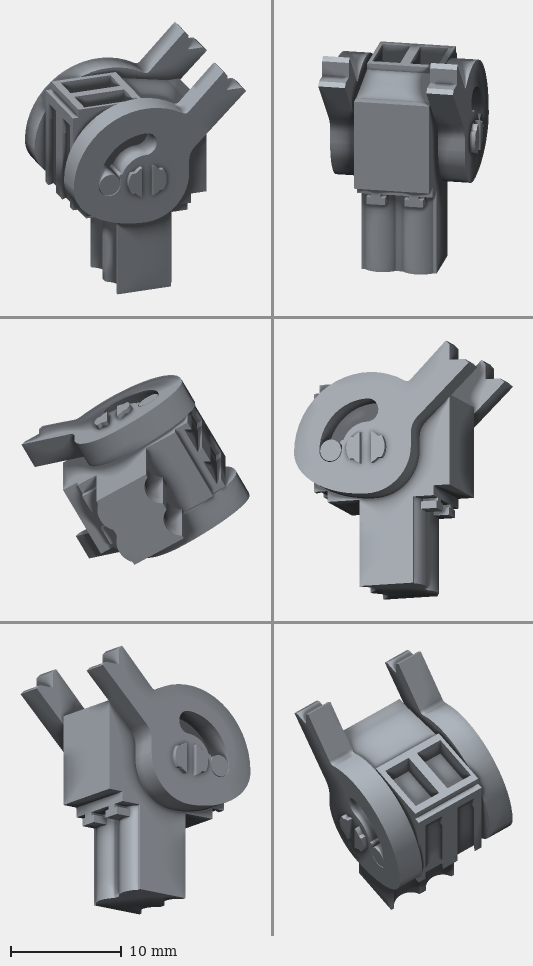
import cadquery as cq
import math


HOUSING_WIDTH = 6.93
FRONT_Y = -6.0
TOP_FRONT_Y = -5.47
SHOULDER_Z = 5.83
TOP_Z = 6.6
SLOPE_TOP_Y = 0.75
SLOPE_TOP_Z = 6.03
SLOPE_BOTTOM_Y = 5.77
BACK_TOP_Z = 5.04
BACK_Y = 6.91
BACK_UNDERSIDE_Z = -3.27
FRONT_UNDERSIDE_Z = -3.19
BASE_FRONT_Y = -4.74
BASE_BACK_Y = 5.4
BASE_Z = -4.18
STEM_FRONT_Y = -1.68
STEM_BACK_Y = 3.45
STEM_CREST_Y = 4.03
STEM_BOTTOM_Z = -12.1

WAY_X = 1.75
WAY_SIDES = (-1, 1)

POCKET_WIDTH = 2.58
POCKET_SHIFT_X = 0.1
POCKET_FRONT_Y = -4.78
POCKET_BACK_Y = 0.05
POCKET_DEPTH = 2.02

SLOT_WIDTH = 1.92
SLOT_TOP_Z = 4.87
SLOT_DEPTH = 0.54
DOVETAIL_TOP_Z = 3.27
DOVETAIL_DEPTH = 0.58
DOVETAIL_FLARE = 0.3

STEM_GROOVE_RADIUS = 1.55
STEM_ARC_WIDTH = 2.8

TAB_WIDTH = 1.72
TAB_NECK_WIDTH = 0.86
TAB_NECK_HEIGHT = 0.32
TAB_HEIGHT = 1.01
TAB_FRONT_Y = 3.92

LEVER_THICKNESS = 2.45
LEVER_INNER_X = 3.75
LEVER_OUTER_X = LEVER_INNER_X + LEVER_THICKNESS
CAM_RADIUS = 6.98
HUB_RADIUS = 4.18
ARM_TOP_OFFSET = 1.92
ARM_TIP_Y = 7.51
ARM_TIP_CHAMFER = 0.39
NOTCH_Y = 7.88
NOTCH_Z = 7.62
ARM_ROOT_Z = 2.0
ARM_TOP_FILLET = 0.43
ARM_ROOT_FILLET = 1.9

PIVOT_RADIUS = 1.53
PIVOT_LUG_RADIUS = 1.83
PIVOT_LUG_HEIGHT = 1.98
PIVOT_SLIT_WIDTH = 1.08
PIVOT_END_X = 6.7
GUIDE_PIN_RADIUS = 1.0
GUIDE_ORBIT = 3.49
GUIDE_SLOT_WIDTH = 2.13
DETENT_RADIUS = 0.24
DETENT_ANGLE = 15.5


def box(x_range, y_range, z_range):
    """Box between the given pairs of limits."""
    (x0, x1), (y0, y1), (z0, z1) = x_range, y_range, z_range
    return cq.Workplane("XY").box(x1 - x0, y1 - y0, z1 - z0, centered=False).translate((x0, y0, z0))


def side_plane(x):
    """Plane across the X axis, drawn in Y and Z and extruded toward +X."""
    return cq.Workplane("YZ", origin=(x, 0, 0))


def centered_span(center, width):
    return (center - width / 2, center + width / 2)


def make_housing_block():
    outline = [
        (FRONT_Y, FRONT_UNDERSIDE_Z),
        (FRONT_Y, SHOULDER_Z),
        (TOP_FRONT_Y, SHOULDER_Z),
        (TOP_FRONT_Y, TOP_Z),
        (SLOPE_TOP_Y, TOP_Z),
        (SLOPE_TOP_Y, SLOPE_TOP_Z),
        (SLOPE_BOTTOM_Y, BACK_TOP_Z),
        (BACK_Y, BACK_TOP_Z),
        (BACK_Y, BACK_UNDERSIDE_Z),
        (BASE_BACK_Y, BACK_UNDERSIDE_Z),
        (BASE_BACK_Y, BASE_Z),
        (BASE_FRONT_Y, BASE_Z),
        (BASE_FRONT_Y, FRONT_UNDERSIDE_Z),
    ]
    return side_plane(-HOUSING_WIDTH / 2).polyline(outline).close().extrude(HOUSING_WIDTH)


def make_stem():
    """Stem with two rounded lobes at the back and two wire grooves in front."""
    height = BASE_Z - STEM_BOTTOM_Z
    half_width = HOUSING_WIDTH / 2
    half_arc = STEM_ARC_WIDTH / 2
    stem = box((-half_width, half_width), (STEM_FRONT_Y, STEM_BACK_Y), (STEM_BOTTOM_Z, BASE_Z))
    groove_axis_y = STEM_FRONT_Y - math.sqrt(STEM_GROOVE_RADIUS**2 - half_arc**2)
    for side in WAY_SIDES:
        center = side * WAY_X
        lobe = (
            cq.Workplane("XY", origin=(center, 0, STEM_BOTTOM_Z))
            .moveTo(-half_arc, STEM_BACK_Y)
            .threePointArc((0, STEM_CREST_Y), (half_arc, STEM_BACK_Y))
            .close()
            .extrude(height)
        )
        groove = (
            cq.Workplane("XY", origin=(center, groove_axis_y, STEM_BOTTOM_Z))
            .circle(STEM_GROOVE_RADIUS)
            .extrude(height)
        )
        stem = stem.union(lobe).cut(groove)
    return stem


def make_pocket(side):
    """Rectangular pocket sunk into the top of the housing."""
    x_range = centered_span(side * WAY_X + POCKET_SHIFT_X, POCKET_WIDTH)
    return box(x_range, (POCKET_FRONT_Y, POCKET_BACK_Y), (TOP_Z - POCKET_DEPTH, TOP_Z))


def make_front_slot(side):
    """Front slot: straight-walled at its upper end, an open-ended dovetail below."""
    center = side * WAY_X
    x_range = centered_span(center, SLOT_WIDTH)
    window = box(x_range, (FRONT_Y, FRONT_Y + SLOT_DEPTH), (DOVETAIL_TOP_Z, SLOT_TOP_Z))
    floor_y = FRONT_Y + DOVETAIL_DEPTH
    dovetail = (
        cq.Workplane("XY", origin=(0, 0, FRONT_UNDERSIDE_Z))
        .polyline([
            (x_range[0], FRONT_Y),
            (x_range[1], FRONT_Y),
            (x_range[1] + DOVETAIL_FLARE, floor_y),
            (x_range[0] - DOVETAIL_FLARE, floor_y),
        ])
        .close()
        .extrude(DOVETAIL_TOP_Z - FRONT_UNDERSIDE_Z)
    )
    return window.union(dovetail)


def make_right_pivot():
    """Pivot shaft with a slit, two-lugged head, and the guide pin beside it."""
    housing_x = HOUSING_WIDTH / 2
    shaft = side_plane(housing_x).circle(PIVOT_RADIUS).extrude(LEVER_OUTER_X - housing_x)
    head_length = PIVOT_END_X - LEVER_OUTER_X
    head_plane = side_plane(LEVER_OUTER_X)
    lug_width = 2 * PIVOT_LUG_RADIUS
    lugs = head_plane.circle(PIVOT_LUG_RADIUS).extrude(head_length)
    lugs = lugs.intersect(head_plane.rect(lug_width, PIVOT_LUG_HEIGHT).extrude(head_length))
    slit = head_plane.rect(PIVOT_SLIT_WIDTH, lug_width).extrude(head_length)
    head = head_plane.circle(PIVOT_RADIUS).extrude(head_length).union(lugs).cut(slit)
    guide_pin = (
        side_plane(housing_x)
        .center(-GUIDE_ORBIT, 0)
        .circle(GUIDE_PIN_RADIUS)
        .extrude(LEVER_OUTER_X - housing_x)
    )
    return shaft.union(head).union(guide_pin)


def make_tab(side):
    """Small tab under the back of the base: a narrow neck above a wider foot."""
    center = side * WAY_X
    neck_bottom_z = BASE_Z - TAB_NECK_HEIGHT
    y_range = (TAB_FRONT_Y, BASE_BACK_Y)
    neck = box(centered_span(center, TAB_NECK_WIDTH), y_range, (neck_bottom_z, BASE_Z))
    foot = box(centered_span(center, TAB_WIDTH), y_range, (BASE_Z - TAB_HEIGHT, neck_bottom_z))
    return neck.union(foot)


def make_housing():
    housing = make_housing_block().union(make_stem())
    for side in WAY_SIDES:
        housing = housing.cut(make_pocket(side)).cut(make_front_slot(side)).cut(make_tab(side))
    pivot = make_right_pivot()
    return housing.union(pivot).union(pivot.mirror("YZ"))


def make_right_lever():
    """Cam lever: round cam with an eccentric lower flank and a notched arm."""
    arm_top_y = (math.sqrt(2 * CAM_RADIUS**2 - ARM_TOP_OFFSET**2) - ARM_TOP_OFFSET) / 2
    arm_top = (arm_top_y, arm_top_y + ARM_TOP_OFFSET)
    upper_tip = (ARM_TIP_Y, ARM_TIP_Y + ARM_TOP_OFFSET)
    axis_offset = NOTCH_Z - NOTCH_Y
    lower_tip = (upper_tip[1] - axis_offset, upper_tip[0] + axis_offset)
    arm_root = (HUB_RADIUS, ARM_ROOT_Z)
    arc_mid = CAM_RADIUS * math.sqrt(0.5)
    hub_mid = HUB_RADIUS * math.sqrt(0.5)
    lever = (
        side_plane(LEVER_INNER_X)
        .moveTo(*upper_tip)
        .lineTo(*arm_top)
        .threePointArc((-arc_mid, arc_mid), (-CAM_RADIUS, 0))
        .ellipseArc(CAM_RADIUS, HUB_RADIUS, 180, 270, startAtCurrent=True)
        .threePointArc((hub_mid, -hub_mid), (HUB_RADIUS, 0))
        .lineTo(*arm_root)
        .lineTo(*lower_tip)
        .lineTo(lower_tip[0] - ARM_TIP_CHAMFER, NOTCH_Z)
        .lineTo(NOTCH_Y, NOTCH_Z)
        .lineTo(NOTCH_Y, upper_tip[1] - ARM_TIP_CHAMFER)
        .close()
        .extrude(LEVER_THICKNESS)
    )
    for corner, radius in ((arm_top, ARM_TOP_FILLET), (arm_root, ARM_ROOT_FILLET)):
        nearest = cq.selectors.NearestToPointSelector((LEVER_INNER_X + LEVER_THICKNESS / 2, *corner))
        lever = lever.edges("|X").edges(nearest).fillet(radius)
    pivot_hole = side_plane(LEVER_INNER_X).circle(PIVOT_RADIUS).extrude(LEVER_THICKNESS)
    return lever.cut(pivot_hole).cut(make_guide_slot()).union(make_detent())


def make_guide_slot():
    """Quarter-turn slot around the pivot, with round ends."""
    slot_plane = side_plane(LEVER_INNER_X)
    outer = GUIDE_ORBIT + GUIDE_SLOT_WIDTH / 2
    inner = GUIDE_ORBIT - GUIDE_SLOT_WIDTH / 2
    ring = slot_plane.circle(outer).circle(inner).extrude(LEVER_THICKNESS)
    quarter = slot_plane.center(-outer / 2, outer / 2).rect(outer, outer).extrude(LEVER_THICKNESS)
    ends = (
        slot_plane.pushPoints([(0, GUIDE_ORBIT), (-GUIDE_ORBIT, 0)])
        .circle(GUIDE_SLOT_WIDTH / 2)
        .extrude(LEVER_THICKNESS)
    )
    return ring.intersect(quarter).union(ends)


def make_detent():
    """Small round bump on the inner wall of the guide slot that keeps the pin in the slot end."""
    inner = GUIDE_ORBIT - GUIDE_SLOT_WIDTH / 2
    angle = math.radians(DETENT_ANGLE)
    return (
        side_plane(LEVER_INNER_X)
        .center(-inner * math.cos(angle), inner * math.sin(angle))
        .circle(DETENT_RADIUS)
        .extrude(LEVER_THICKNESS)
    )


housing = make_housing()
right_lever = make_right_lever()
left_lever = right_lever.mirror("YZ")
tabs = [make_tab(side) for side in WAY_SIDES]

result = cq.Compound.makeCompound([
    housing.val(),
    left_lever.val(),
    right_lever.val(),
    *[tab.val() for tab in tabs],
])